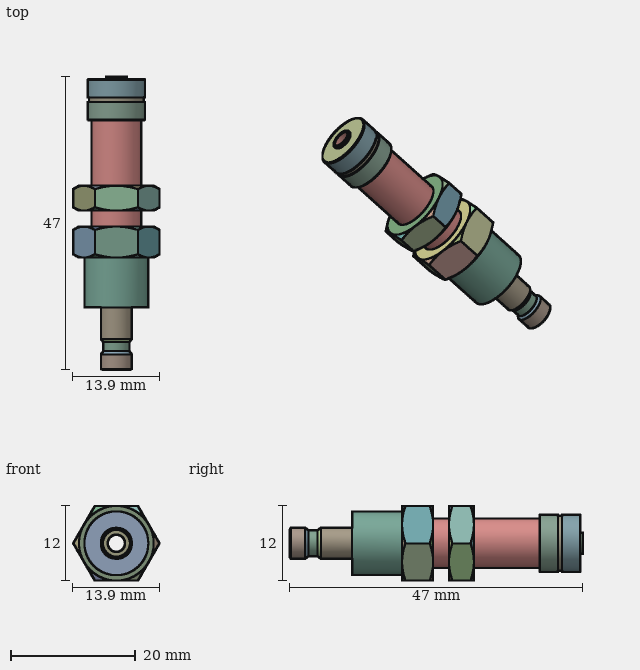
import cadquery as cq
import math

TOTAL_LENGTH = 47.0
FRONT_Y = -TOTAL_LENGTH / 2

SPIGOT_RADIUS = 2.5
SPIGOT_CHAMFER_LENGTH = 0.2
SPIGOT_CHAMFER_DEPTH = 0.35
NECK_RADIUS = 2.1
NECK_TAPER = 0.5
NECK_START = 2.5
NECK_END = 5.0

COLLAR_RADIUS = 5.1
COLLAR_START = 10.0
HEX_START = 18.0
HEX_LENGTH = 5.0
BARREL_RADIUS = 4.0

CAP_RADIUS = 4.6
CAP_CHAMFER = 0.15
CAP_START = 40.0
CAP_GROOVE_START = 42.95
CAP_GROOVE_WIDTH = 0.7
CAP_GROOVE_DEPTH = 0.2
TIP_RADIUS = 1.7
TIP_LENGTH = 0.38
BORE_RADIUS = 1.35

ACROSS_FLATS = 12.0
ACROSS_CORNERS = ACROSS_FLATS / math.cos(math.radians(30))
HEX_CHAMFER_ANGLE = 30.0
NUT_START = 25.5
NUT_LENGTH = 4.0


def revolve_about_y(profile):
    """Revolve (radius, station) points, closed along the axis, about Y."""
    points = [(0, profile[0][1])] + profile + [(0, profile[-1][1])]
    placed = [(radius, FRONT_Y + station) for radius, station in points]
    return cq.Workplane("XY").polyline(placed).close().revolve(360, (0, 0), (0, 1))


def cylinder(radius, start, length):
    return revolve_about_y([(radius, start), (radius, start + length)])


def chamfered_hexagon(start, length):
    """Hexagonal prism with corners along X, turned to a cone at both ends."""
    end = start + length
    prism = (
        cq.Workplane("XZ", origin=(0, FRONT_Y + start, 0))
        .polygon(6, ACROSS_CORNERS)
        .extrude(-length)
    )
    face_radius = ACROSS_FLATS / 2
    corner_radius = ACROSS_CORNERS / 2
    setback = (corner_radius - face_radius) * math.tan(math.radians(HEX_CHAMFER_ANGLE))
    envelope = revolve_about_y([
        (face_radius, start),
        (corner_radius, start + setback),
        (corner_radius, end - setback),
        (face_radius, end),
    ])
    return prism.intersect(envelope)


def make_spigot():
    return revolve_about_y([
        (SPIGOT_RADIUS - SPIGOT_CHAMFER_DEPTH, 0),
        (SPIGOT_RADIUS, SPIGOT_CHAMFER_LENGTH),
        (SPIGOT_RADIUS, NECK_START),
        (NECK_RADIUS, NECK_START + NECK_TAPER),
        (NECK_RADIUS, NECK_END - NECK_TAPER),
        (SPIGOT_RADIUS, NECK_END),
        (SPIGOT_RADIUS, COLLAR_START),
    ])


def make_end_cap():
    cap_end = TOTAL_LENGTH - TIP_LENGTH
    groove_end = CAP_GROOVE_START + CAP_GROOVE_WIDTH
    return revolve_about_y([
        (CAP_RADIUS - CAP_CHAMFER, CAP_START),
        (CAP_RADIUS, CAP_START + CAP_CHAMFER),
        (CAP_RADIUS, CAP_GROOVE_START),
        (CAP_RADIUS - CAP_GROOVE_DEPTH, CAP_GROOVE_START),
        (CAP_RADIUS - CAP_GROOVE_DEPTH, groove_end),
        (CAP_RADIUS, groove_end),
        (CAP_RADIUS, cap_end - CAP_CHAMFER),
        (CAP_RADIUS - CAP_CHAMFER, cap_end),
        (TIP_RADIUS, cap_end),
        (TIP_RADIUS, TOTAL_LENGTH),
    ])


def make_plunger_body():
    barrel_start = HEX_START + HEX_LENGTH
    collar = cylinder(COLLAR_RADIUS, COLLAR_START, HEX_START - COLLAR_START)
    barrel = cylinder(BARREL_RADIUS, barrel_start, CAP_START - barrel_start)
    solid_body = (
        make_spigot()
        .union(collar)
        .union(chamfered_hexagon(HEX_START, HEX_LENGTH))
        .union(barrel)
        .union(make_end_cap())
    )
    return solid_body.cut(cylinder(BORE_RADIUS, 0, TOTAL_LENGTH))


def make_lock_nut():
    """Loose nut whose hole fits the barrel."""
    hole = cylinder(BARREL_RADIUS, NUT_START, NUT_LENGTH)
    return chamfered_hexagon(NUT_START, NUT_LENGTH).cut(hole)


plunger_body = make_plunger_body()
lock_nut = make_lock_nut()

result = cq.Compound.makeCompound([plunger_body.val(), lock_nut.val()])